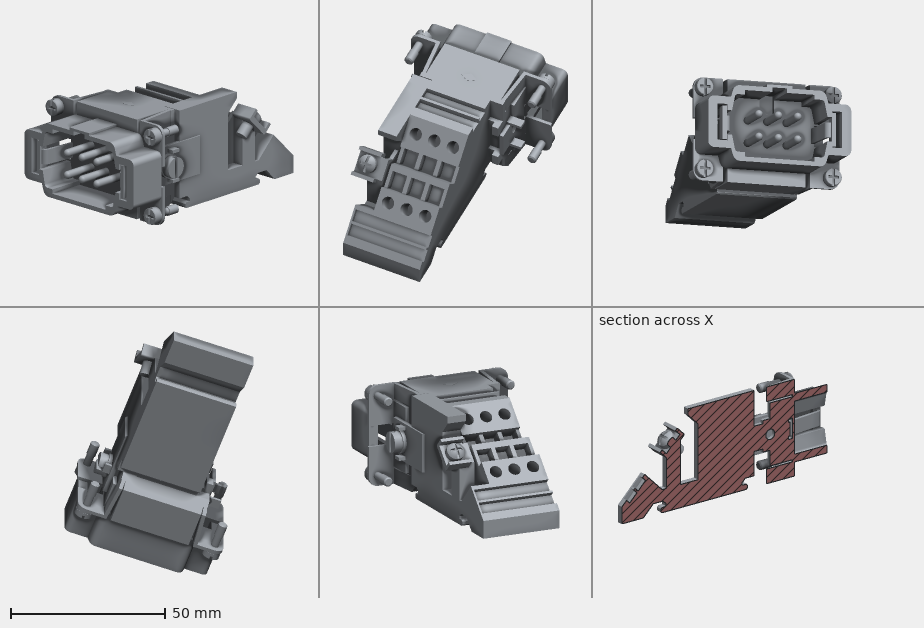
import cadquery as cq
import math


LENGTH = 82.5
HEIGHT = 34.0
FLANGE_WIDTH = 50.0
MID_Z = HEIGHT / 2
SHROUD_DEPTH = 13.0
FLANGE_BACK = 14.1
SHOULDER_Y = 29.0

TERMINAL_HALF = 10.4
SIDE_BLOCK_X = 17.0
SHOULDER_HALF = 14.9
NOSE_HALF = 13.4

PITCH = 6.65
CONTACT_COLUMNS = (-PITCH, 0, PITCH)

SLOPE_ANGLE = 45
FACE_REACH = 88.5
REAR_STEP_REACH = 84.5
FRONT_FACE_REACH = 79.5
FRONT_STEP_REACH = 77.5
REAR_STEP_DROP = 46.5
MIDDLE_DROP = 35.0
LIP_DROP = 27.0


def sloped(drop, reach):
    """Point (y, z) with the given drop and reach."""
    return ((reach + drop) / 2, (reach - drop) / 2)


def box(x0, x1, y0, y1, z0, z1):
    size = (x1 - x0, y1 - y0, z1 - z0)
    return cq.Workplane("XY").box(*size, centered=False).translate((x0, y0, z0))


def prism(points, x0, x1):
    """Extrude a closed (y, z) outline from x0 to x1."""
    return cq.Workplane("YZ").workplane(offset=x0).polyline(points).close().extrude(x1 - x0)


def sloped_box(x0, x1, drop0, drop1, reach0, reach1):
    """Block whose faces follow the terminal slope."""
    corners = ((drop0, reach0), (drop1, reach0), (drop1, reach1), (drop0, reach1))
    return prism([sloped(*corner) for corner in corners], x0, x1)


def front_plate(points, y0, y1):
    """Extrude a closed (x, z) outline from y0 to y1."""
    return cq.Workplane("XZ", origin=(0, y0, 0)).polyline(points).close().extrude(y0 - y1)


def mirrored_x(shape):
    return shape.union(shape.mirror("YZ"))


def mirrored_z(shape):
    return shape.union(shape.mirror("XY", (0, 0, MID_Z)))


RAIL_HEIGHT = 4.0
BACK_WALL = 6.0
HOOK_LIP = 2.0
HOOK_BEVEL = 1.15
HOOK_CHAMFER = 0.5
REAR_HOOK_Y = 66.8
FRONT_HOOK_Y = 32.0
HOOK_UNDERCUT = 2.05
REAR_RECESS_Y = 73.8
FRONT_RECESS_Y = 25.0


def rail_recess(hook_y, inward, far_y):
    """Recess behind one rail hook; inward is the Y direction from the recess to the hook."""
    throat = hook_y + inward * HOOK_UNDERCUT
    points = [
        (hook_y + inward * HOOK_CHAMFER, 0),
        (hook_y, HOOK_CHAMFER),
        (hook_y, HOOK_LIP - HOOK_CHAMFER),
        (hook_y + inward * HOOK_CHAMFER, HOOK_LIP),
        (throat, HOOK_LIP),
        (throat, RAIL_HEIGHT - HOOK_BEVEL),
        (throat - inward * HOOK_BEVEL, RAIL_HEIGHT),
        (far_y + inward * RAIL_HEIGHT, RAIL_HEIGHT),
        (far_y, 0),
    ]
    return prism(points, -SIDE_BLOCK_X, SIDE_BLOCK_X)


def terminal_body():
    profile = [
        (SHOULDER_Y, 0),
        (LENGTH, 0),
        (LENGTH, BACK_WALL),
        sloped(REAR_STEP_DROP, FACE_REACH),
        sloped(REAR_STEP_DROP, REAR_STEP_REACH),
        sloped(MIDDLE_DROP, REAR_STEP_REACH),
        sloped(MIDDLE_DROP, FRONT_STEP_REACH),
        sloped(LIP_DROP, FRONT_STEP_REACH),
        sloped(LIP_DROP, FRONT_FACE_REACH),
        (FRONT_FACE_REACH - HEIGHT, HEIGHT),
        (SHOULDER_Y, HEIGHT),
    ]
    return prism(profile, -TERMINAL_HALF, TERMINAL_HALF)


SIDE_BLOCK_START_Y = 29.3
EARTH_FLOOR = 8.25
EARTH_REAR_Y = 66.25
EARTH_FRONT_Y = 52.0
OVERHANG_Y = 56.0
OVERHANG_BASE = 31.75


def side_block():
    """Block beside the terminals, hollowed for the earth clamp and overhung at the front."""
    face_drop = EARTH_REAR_Y - EARTH_FLOOR
    profile = [
        (SIDE_BLOCK_START_Y, 0),
        (LENGTH, 0),
        (LENGTH, BACK_WALL),
        sloped(face_drop, FACE_REACH),
        (EARTH_REAR_Y, EARTH_FLOOR),
        (EARTH_FRONT_Y, EARTH_FLOOR),
        (EARTH_FRONT_Y, OVERHANG_BASE - (OVERHANG_Y - EARTH_FRONT_Y)),
        (OVERHANG_Y, OVERHANG_BASE),
        (OVERHANG_Y, HEIGHT),
        (SIDE_BLOCK_START_Y, HEIGHT),
    ]
    return prism(profile, TERMINAL_HALF, SIDE_BLOCK_X)


LUG_END_Y = 32.5
LUG_INNER_Y = 30.4
LUG_INNER_X = 12.6
LUG_OUTER_Z = 26.0
LUG_INNER_Z = 22.0


def shoulder():
    """Wider front end of the body, with rearward lugs on its -X side."""
    block = box(-SHOULDER_HALF, SHOULDER_HALF, SHROUD_DEPTH, SHOULDER_Y, 0, HEIGHT)
    lug = box(-SHOULDER_HALF, -LUG_INNER_X, SHOULDER_Y, LUG_END_Y, LUG_INNER_Z, LUG_OUTER_Z)
    web = box(-LUG_INNER_X, -TERMINAL_HALF, SHOULDER_Y, LUG_INNER_Y, LUG_INNER_Z, LUG_OUTER_Z)
    return block.union(mirrored_z(lug.union(web)))


GROOVE_DEPTH = 1.9
TOP_GROOVES = ((33.0, 37.0), (38.0, 42.0))
SLOPE_GROOVE_DROPS = ((60.0, 65.8), (66.9, 72.6))
GROOVE_SINK = 2.5
SLOPE_GROOVE_END = 16.4
SLOPE_GROOVE_REACH = FACE_REACH - GROOVE_SINK
WIRE_HOLE_DIAMETER = 4.2
WIRE_HOLE_DEPTH = 8.0
WIRE_HOLES = ((52.4, FACE_REACH), (19.3, FRONT_FACE_REACH))
WINDOW_WIDTH = 5.2
WINDOW_REACH = 5.5
WINDOWS = ((38.1, REAR_STEP_DROP, REAR_STEP_REACH), (LIP_DROP, MIDDLE_DROP, FRONT_STEP_REACH))


def slope_plane(x, drop, reach):
    """Plane on the terminal slope, facing outwards."""
    return cq.Plane(origin=(x, *sloped(drop, reach)), xDir=(1, 0, 0), normal=(0, 1, 1))


def body_cuts():
    cuts = ear_clearance()
    for y0, y1 in TOP_GROOVES:
        cuts = cuts.union(box(-TERMINAL_HALF, TERMINAL_HALF, y0, y1, HEIGHT - GROOVE_DEPTH, HEIGHT))
    for drop0, drop1 in SLOPE_GROOVE_DROPS:
        groove = sloped_box(-TERMINAL_HALF, SLOPE_GROOVE_END, drop0, drop1, SLOPE_GROOVE_REACH, FACE_REACH)
        cuts = cuts.union(groove)
    for x in CONTACT_COLUMNS:
        for drop, reach in WIRE_HOLES:
            hole = cq.Workplane(slope_plane(x, drop, reach)).circle(WIRE_HOLE_DIAMETER / 2)
            cuts = cuts.union(hole.extrude(-WIRE_HOLE_DEPTH))
        left = x - WINDOW_WIDTH / 2
        for drop0, drop1, reach in WINDOWS:
            window = sloped_box(left, left + WINDOW_WIDTH, drop0, drop1, reach - WINDOW_REACH, reach)
            cuts = cuts.union(window)
    return cuts


SLOT_WIDTH = 0.9
SLOT_DEPTH = 1.2


def cross_recess(plane, diameter, short_slot):
    """Cross recess sunk into a screw head: one slot crosses the head, the other is short."""
    long_slot = cq.Workplane(plane).rect(SLOT_WIDTH, diameter).extrude(-SLOT_DEPTH)
    return long_slot.union(cq.Workplane(plane).rect(short_slot, SLOT_WIDTH).extrude(-SLOT_DEPTH))


FLANGE_SCREW_X = 22.0
FLANGE_SCREW_Z = 3.5
WASHER_DIAMETER = 5.5
WASHER_THICKNESS = 0.9
HEAD_DIAMETER = 5.6
HEAD_FRONT_Y = 10.0
NECK_DIAMETER = 2.6
THREAD_DIAMETER = 3.1
THREAD_START_Y = 18.0
THREAD_END_Y = 22.5
THREAD_BEVEL = 0.4
HEAD_BEVEL = 0.2
FLANGE_SCREW_SLOT = 3.6


def flange_screw(x, z):
    def rod(diameter, y0, y1):
        return cq.Workplane("XZ", origin=(x, y0, z)).circle(diameter / 2).extrude(y0 - y1)

    washer_front = SHROUD_DEPTH - WASHER_THICKNESS
    head = rod(HEAD_DIAMETER, HEAD_FRONT_Y, washer_front).faces("<Y").chamfer(HEAD_BEVEL)
    plane = cq.Plane(origin=(x, HEAD_FRONT_Y, z), xDir=(1, 0, 0), normal=(0, -1, 0))
    head = head.cut(cross_recess(plane, HEAD_DIAMETER, FLANGE_SCREW_SLOT))
    thread = rod(THREAD_DIAMETER, THREAD_START_Y, THREAD_END_Y).faces(">Y").chamfer(THREAD_BEVEL)
    screw = head.union(rod(WASHER_DIAMETER, washer_front, SHROUD_DEPTH))
    return screw.union(rod(NECK_DIAMETER, SHROUD_DEPTH, THREAD_START_Y)).union(thread)


PEDESTAL_START_X = 11.6
PEDESTAL_STEP_X = 12.9
PEDESTAL_REACH = 85.0
PEDESTAL_REAR_DROP = 44.2
PEDESTAL_FRONT_DROP = 33.95
PEDESTAL_STEP_Y = 58.7
PEDESTAL_LEDGE_Z = 22.45
PEDESTAL_LEDGE_Y = 56.25
CLAMP_START_X = 13.6
CLAMP_END_X = 21.6
CLAMP_BASE_REACH = 82.5
CLAMP_SEAT_REACH = PEDESTAL_REACH
CLAMP_REAR_DROP = 45.75
CLAMP_FRONT_DROP = 31.9
CLAMP_WALL_DROP = 1.6
CLAMP_BEND = 0.6
CLAMP_SCREW_DROP = 38.7
CLAMP_HEAD_DIAMETER = 6.0
CLAMP_HEAD_SIDE = 1.9
CLAMP_HEAD_DOME = 1.4
CLAMP_SHANK_DIAMETER = 4.0
CLAMP_SHANK_LENGTH = 6.2
CLAMP_SCREW_SLOT = 4.2


def clamp_pedestal():
    rear = sloped(PEDESTAL_REAR_DROP, PEDESTAL_REACH)
    crest = sloped(PEDESTAL_FRONT_DROP, PEDESTAL_REACH)
    tall = [
        (EARTH_FRONT_Y, EARTH_FLOOR),
        (rear[0], EARTH_FLOOR),
        rear,
        crest,
        (PEDESTAL_LEDGE_Y, PEDESTAL_LEDGE_Z),
        (EARTH_FRONT_Y, PEDESTAL_LEDGE_Z),
    ]
    low = [
        (PEDESTAL_STEP_Y, EARTH_FLOOR),
        (rear[0], EARTH_FLOOR),
        rear,
        crest,
        (PEDESTAL_STEP_Y, PEDESTAL_STEP_Y - PEDESTAL_FRONT_DROP),
    ]
    pedestal = prism(tall, PEDESTAL_START_X, PEDESTAL_STEP_X)
    return pedestal.union(prism(low, PEDESTAL_STEP_X, SIDE_BLOCK_X))


def clamp_screw():
    """Domed cross-head screw, modelled upright and then tilted onto the clamp seat."""
    radius = CLAMP_HEAD_DIAMETER / 2
    shank = cq.Workplane("XY").circle(CLAMP_SHANK_DIAMETER / 2).extrude(-CLAMP_SHANK_LENGTH)
    apex = CLAMP_HEAD_SIDE + CLAMP_HEAD_DOME
    dome_radius = (radius**2 + CLAMP_HEAD_DOME**2) / (2 * CLAMP_HEAD_DOME)
    head = cq.Workplane("XY").circle(radius).extrude(apex)
    head = head.intersect(cq.Workplane("XY").sphere(dome_radius).translate((0, 0, apex - dome_radius)))
    recess = cross_recess(cq.Plane(origin=(0, 0, apex)), CLAMP_HEAD_DIAMETER, CLAMP_SCREW_SLOT)
    screw = head.cut(recess).union(shank).rotate((0, 0, 0), (1, 0, 0), -SLOPE_ANGLE)
    screw_x = (CLAMP_START_X + CLAMP_END_X) / 2
    return screw.translate((screw_x, *sloped(CLAMP_SCREW_DROP, CLAMP_SEAT_REACH)))


def earth_clamp():
    """U-shaped clamp on the pedestal, held by a domed screw."""
    drops = (CLAMP_FRONT_DROP, CLAMP_REAR_DROP)
    clamp = sloped_box(CLAMP_START_X, CLAMP_END_X, *drops, CLAMP_BASE_REACH, FACE_REACH)
    gap = (CLAMP_FRONT_DROP + CLAMP_WALL_DROP, CLAMP_REAR_DROP - CLAMP_WALL_DROP)
    clamp = clamp.cut(sloped_box(CLAMP_START_X, CLAMP_END_X, *gap, CLAMP_SEAT_REACH, FACE_REACH))
    clamp = clamp.faces("<(0,1,1)").edges("|X").fillet(CLAMP_BEND)
    return clamp.union(clamp_screw())


FLANGE_CORNER = 3.2
LEG_OUTER = 16.2
FLANGE_INNER = 14.95
LEG_STEPS = ((23.0, 5.9), (26.0, 11.4), (31.4, 12.5))
LEG_HOLE_DIAMETER = 3.4
LEG_HOLE_Y = 22.9
EAR_START_Z = 28.7
EAR_END_Y = 27.2
EAR_END_X = 13.5
EAR_THICKNESS = 1.25
TAB_START_Y = 23.0
TAB_END_Y = 26.0
TAB_LOW_Z = 11.4
TAB_HIGH_Z = 12.5
TAB_END_X = 20.0
NOTCH_HALF = 3.5
NOTCH_END_Y = 15.55


def flange():
    plate = box(-FLANGE_WIDTH / 2, FLANGE_WIDTH / 2, SHROUD_DEPTH, FLANGE_BACK, 0, HEIGHT)
    plate = plate.edges("|Y").fillet(FLANGE_CORNER)
    plate = plate.cut(box(-FLANGE_INNER, FLANGE_INNER, SHROUD_DEPTH, FLANGE_BACK, 0, HEIGHT))
    half_width = FLANGE_WIDTH / 2
    notch = box(LEG_OUTER, half_width, SHROUD_DEPTH, FLANGE_BACK, MID_Z - NOTCH_HALF, MID_Z + NOTCH_HALF)
    return plate.cut(mirrored_x(notch))


def ear_outline():
    """Plan outline (x, y) of the +X ear, leaning inwards towards the rear."""
    return [
        (LEG_OUTER, SHROUD_DEPTH),
        (FLANGE_INNER, SHROUD_DEPTH),
        (EAR_END_X, EAR_END_Y),
        (EAR_END_X + EAR_THICKNESS, EAR_END_Y),
    ]


def ears():
    ear = cq.Workplane("XY", origin=(0, 0, EAR_START_Z)).polyline(ear_outline()).close()
    return mirrored_x(mirrored_z(ear.extrude(HEIGHT - EAR_START_Z)))


def ear_clearance():
    """Space cut from the body so that each ear stands free beside the nose."""
    space = box(NOSE_HALF, SHOULDER_HALF, SHROUD_DEPTH, EAR_END_Y, EAR_START_Z, HEIGHT)
    return mirrored_x(mirrored_z(space))


def legs():
    leg = None
    for end_y, z0 in LEG_STEPS:
        step = box(SHOULDER_HALF, LEG_OUTER, SHROUD_DEPTH, end_y, z0, HEIGHT - z0)
        leg = step if leg is None else leg.union(step)
    notch = (SHROUD_DEPTH, NOTCH_END_Y, MID_Z - NOTCH_HALF, MID_Z + NOTCH_HALF)
    leg = leg.cut(box(SHOULDER_HALF, LEG_OUTER, *notch))
    hole = cq.Workplane("YZ", origin=(SHOULDER_HALF, 0, 0)).center(LEG_HOLE_Y, MID_Z)
    leg = leg.cut(hole.circle(LEG_HOLE_DIAMETER / 2).extrude(LEG_OUTER - SHOULDER_HALF))
    tab = box(SHOULDER_HALF, TAB_END_X, TAB_START_Y, TAB_END_Y, TAB_LOW_Z, TAB_HIGH_Z)
    return mirrored_x(leg.union(mirrored_z(tab)))


STRIP_START_X = 16.1
STRIP_END_X = 17.6
STRIP_START_Y = 16.9
STRIP_END_Y = 38.75
STRIP_HALF_HEIGHT = 6.5
STRIP_BEVEL = 0.5
EARTH_WASHER_DIAMETER = 8.0
EARTH_WASHER_END_X = 18.8
EARTH_HEAD_DIAMETER = 7.1
EARTH_HEAD_END_X = 21.6
EARTH_SLOT_WIDTH = 1.2
EARTH_SLOT_FLOOR_X = 19.9


def earth_strip():
    low, high = MID_Z - STRIP_HALF_HEIGHT, MID_Z + STRIP_HALF_HEIGHT
    strip = box(STRIP_START_X, STRIP_END_X, STRIP_START_Y, STRIP_END_Y, low, high)
    strip = strip.faces(">Y").edges(">X").chamfer(STRIP_BEVEL)

    def disc(diameter, x0, x1):
        return cq.Workplane("YZ", origin=(x0, LEG_HOLE_Y, MID_Z)).circle(diameter / 2).extrude(x1 - x0)

    head = disc(EARTH_HEAD_DIAMETER, EARTH_WASHER_END_X, EARTH_HEAD_END_X)
    slot = cq.Workplane("YZ", origin=(EARTH_SLOT_FLOOR_X, LEG_HOLE_Y, MID_Z))
    slot = slot.rect(EARTH_SLOT_WIDTH, EARTH_HEAD_DIAMETER).extrude(EARTH_HEAD_END_X - EARTH_SLOT_FLOOR_X)
    washer = disc(EARTH_WASHER_DIAMETER, STRIP_END_X, EARTH_WASHER_END_X)
    return strip.union(washer).union(head.cut(slot))


WING_HALF_WIDTH = 24.5
WING_HALF_HEIGHT = 8.5
WING_CORNER = 2.0
HOOD_BASE = 16.7
HOOD_TOP = (15.5, 12.5)
HOOD_ROUND = 2.5
BUMP_HALF = 4.4
BUMP_TOP = 30.4
CAVITY_HALF = 11.9
CAVITY_HALF_HEIGHT = 11.0
CAVITY_STEP = 9.5
CAVITY_SHOULDER = 15.2
CAVITY_ROUND = 1.2
CAVITY_SIDE = (16.35, 4.0)
SLOT_INNER = 18.0
SLOT_OUTER = 21.3
SLOT_HALF_HEIGHT = 6.0
INSERT_HALF = 14.8
INSERT_RISE = 0.2
KEY_HALF = 2.45
KEY_LOW = 23.4
KEY_HIGH = 29.5
KEY_SINK = 1.0


def closed_mirror(quarter):
    """Complete a quarter outline of (x, height above middle) points to a symmetric (x, z) loop."""
    upper = quarter + [(-x, h) for x, h in reversed(quarter)]
    lower = [(-x, -h) for x, h in upper]
    return [(x, MID_Z + h) for x, h in upper + lower]


def shroud_walls():
    wings = box(
        -WING_HALF_WIDTH, WING_HALF_WIDTH, 0, SHROUD_DEPTH, MID_Z - WING_HALF_HEIGHT, MID_Z + WING_HALF_HEIGHT
    )
    wings = wings.edges("|Y").fillet(WING_CORNER)
    hood = front_plate(closed_mirror([(HOOD_BASE, WING_HALF_HEIGHT), HOOD_TOP]), 0, SHROUD_DEPTH)
    hood = hood.edges("|Y").edges("<Z or >Z").fillet(HOOD_ROUND)
    bump = box(-BUMP_HALF, BUMP_HALF, 0, SHROUD_DEPTH, MID_Z, BUMP_TOP)
    return wings.union(hood).union(bump)


def shroud_cavity():
    quarter = [
        CAVITY_SIDE,
        (CAVITY_SHOULDER, CAVITY_STEP),
        (CAVITY_HALF, CAVITY_STEP),
        (CAVITY_HALF, CAVITY_HALF_HEIGHT),
    ]
    cavity = front_plate(closed_mirror(quarter), 0, SHROUD_DEPTH)
    low_step_z = MID_Z - CAVITY_STEP
    for side in (-1, 1):
        for z in (low_step_z, HEIGHT - low_step_z):
            corner = cq.selectors.NearestToPointSelector((side * CAVITY_SHOULDER, SHROUD_DEPTH / 2, z))
            cavity = cavity.edges(corner).fillet(CAVITY_ROUND)
    half_gap = CAVITY_SIDE[1]
    cavity = cavity.union(
        box(-SLOT_OUTER, SLOT_OUTER, 0, SHROUD_DEPTH, MID_Z - half_gap, MID_Z + half_gap)
    )
    slot = box(
        SLOT_INNER, SLOT_OUTER, 0, SHROUD_DEPTH, MID_Z - SLOT_HALF_HEIGHT, MID_Z + SLOT_HALF_HEIGHT
    )
    return cavity.union(mirrored_x(slot))


def insert_face():
    """Front of the contact insert, standing slightly proud of the cavity floor."""
    front = SHROUD_DEPTH - INSERT_RISE
    face = box(-INSERT_HALF, INSERT_HALF, front, SHROUD_DEPTH, 0, HEIGHT)
    return face.intersect(shroud_cavity())


def key_recess():
    return box(-KEY_HALF, KEY_HALF, 0, SHROUD_DEPTH + KEY_SINK, KEY_LOW, KEY_HIGH)


SPRING_HALF_HEIGHT = 2.5
SPRING_THICKNESS = 1.0
SPRING_ROOT_X = 14.95
SPRING_BEND_X = 16.2
SPRING_BEND_Y = 2.8
SPRING_FRONT_Y = 1.2
BAR_OUTER = 19.4
BAR_HALF_HEIGHT = 5.55
BAR_FRONT_Y = 0.5
BAR_BACK_Y = 3.5


def springs():
    radius = SPRING_BEND_Y - SPRING_FRONT_Y
    diagonal = radius * math.sqrt(0.5)
    centre_x = SPRING_BEND_X + radius
    inner_radius = radius - SPRING_THICKNESS
    inner_diagonal = inner_radius * math.sqrt(0.5)
    strip = (
        cq.Workplane("XY", origin=(0, 0, MID_Z - SPRING_HALF_HEIGHT))
        .moveTo(SPRING_ROOT_X, NOTCH_END_Y)
        .lineTo(SPRING_BEND_X, SPRING_BEND_Y)
        .threePointArc((centre_x - diagonal, SPRING_BEND_Y - diagonal), (centre_x, SPRING_FRONT_Y))
        .lineTo(SLOT_INNER, SPRING_FRONT_Y)
        .lineTo(SLOT_INNER, SPRING_FRONT_Y + SPRING_THICKNESS)
        .lineTo(centre_x, SPRING_FRONT_Y + SPRING_THICKNESS)
        .threePointArc(
            (centre_x - inner_diagonal, SPRING_BEND_Y - inner_diagonal),
            (centre_x - inner_radius, SPRING_BEND_Y),
        )
        .lineTo(SPRING_ROOT_X + SPRING_THICKNESS, NOTCH_END_Y)
        .close()
        .extrude(2 * SPRING_HALF_HEIGHT)
    )
    bar = box(
        SLOT_INNER, BAR_OUTER, BAR_FRONT_Y, BAR_BACK_Y, MID_Z - BAR_HALF_HEIGHT, MID_Z + BAR_HALF_HEIGHT
    )
    return mirrored_x(strip.union(bar))


PIN_DIAMETER = 2.6
PIN_TIP_Y = 0.25
PIN_HALF_SPACING = 3.73


def contact_pin(x, z):
    radius = PIN_DIAMETER / 2
    shaft = cq.Workplane("XZ", origin=(x, PIN_TIP_Y + radius, z)).circle(radius)
    shaft = shaft.extrude(PIN_TIP_Y + radius - SHROUD_DEPTH - KEY_SINK)
    return shaft.union(cq.Workplane("XY").sphere(radius).translate((x, PIN_TIP_Y + radius, z)))


BADGE_HALF_X = 2.7
BADGE_HALF_Y = 1.7
BADGE_Y = 22.9
BADGE_HEIGHT = 0.1


def badge():
    plate = cq.Workplane("XY", origin=(0, BADGE_Y, HEIGHT))
    points = [(-BADGE_HALF_X, 0), (0, -BADGE_HALF_Y), (BADGE_HALF_X, 0), (0, BADGE_HALF_Y)]
    return plate.polyline(points).close().extrude(BADGE_HEIGHT)


result = terminal_body().union(side_block()).union(shoulder())
result = result.cut(body_cuts())
result = result.union(clamp_pedestal()).union(earth_clamp())
result = result.union(shroud_walls().cut(shroud_cavity())).union(insert_face()).cut(key_recess())
result = result.union(flange()).union(ears()).union(legs()).union(earth_strip())
result = result.cut(rail_recess(REAR_HOOK_Y, -1, REAR_RECESS_Y))
result = result.cut(rail_recess(FRONT_HOOK_Y, 1, FRONT_RECESS_Y))
result = result.union(springs()).union(badge())
for pin_x in CONTACT_COLUMNS:
    for offset in (-PIN_HALF_SPACING, PIN_HALF_SPACING):
        result = result.union(contact_pin(pin_x, MID_Z + offset))
for screw_x in (-FLANGE_SCREW_X, FLANGE_SCREW_X):
    for screw_z in (FLANGE_SCREW_Z, HEIGHT - FLANGE_SCREW_Z):
        result = result.union(flange_screw(screw_x, screw_z))